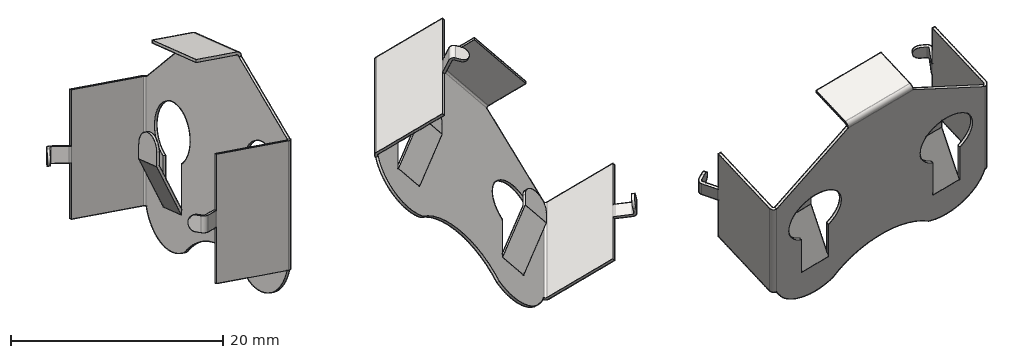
import cadquery as cq
import math


thickness = 0.3
bend_inner = 0.2
bend_outer = bend_inner + thickness

clip_half_width = 12.7
top_z = 12.85
bottom_z = -9.75
plate_half_width = clip_half_width - bend_outer
plate_top_z = top_z - bend_outer
lobe_x = 7.7
scallop_half_width = 5.6
scallop_crest_z = -7.0

wing_half_height = 6.35
wing_depth = 8.56
flange_half_width = 3.8
flange_depth = 5.08

hole_radius = 3.07
hole_z = 1.95
slot_width = 3.15
tongue_width = 3.1
tongue_radius = tongue_width / 2
tongue_x = lobe_x - (slot_width - tongue_width) / 2
tongue_depth = 3.07
tongue_root_z = -5.7
tongue_bend_z = -0.52
tongue_top_z = 2.47

tab_width = 1.65
tab_half_span = 13.6
tab_depth = 11.42
tab_angle = 30.0


def polar(center, radius, degrees):
    """Point on a circle, at an angle counted from the first axis."""
    angle = math.radians(degrees)
    return (center[0] + radius * math.cos(angle), center[1] + radius * math.sin(angle))


def make_plate():
    """Flat back plate: sloped shoulders, two round lobes and a scallop between them."""
    lobe_run = plate_half_width - lobe_x
    lobe_rise = -wing_half_height - bottom_z
    lobe_radius = (lobe_run**2 + lobe_rise**2) / (2 * lobe_rise)
    lobe_z = bottom_z + lobe_radius
    scallop_end_z = lobe_z - math.sqrt(lobe_radius**2 - (lobe_x - scallop_half_width) ** 2)
    return (
        cq.Workplane("XZ")
        .moveTo(-flange_half_width, plate_top_z)
        .lineTo(flange_half_width, plate_top_z)
        .lineTo(plate_half_width, wing_half_height)
        .lineTo(plate_half_width, -wing_half_height)
        .threePointArc((lobe_x, bottom_z), (scallop_half_width, scallop_end_z))
        .threePointArc((0, scallop_crest_z), (-scallop_half_width, scallop_end_z))
        .threePointArc((-lobe_x, bottom_z), (-plate_half_width, -wing_half_height))
        .lineTo(-plate_half_width, wing_half_height)
        .close()
        .extrude(thickness)
    )


def bent_leg(plane, depth, half_length):
    """Quarter bend and straight leg; the plane's origin is the sharp outer corner."""
    center = (bend_outer, -bend_outer)
    return (
        cq.Workplane(plane)
        .moveTo(bend_outer, 0)
        .threePointArc(polar(center, bend_outer, 135), (0, -bend_outer))
        .lineTo(0, -depth)
        .lineTo(thickness, -depth)
        .lineTo(thickness, -bend_outer)
        .threePointArc(polar(center, bend_inner, 135), (bend_outer, -thickness))
        .close()
        .extrude(half_length, both=True)
    )


def make_flange():
    plane = cq.Plane(origin=(0, 0, top_z), xDir=(0, 0, -1), normal=(1, 0, 0))
    return bent_leg(plane, flange_depth, flange_half_width)


def make_left_wing():
    plane = cq.Plane(origin=(-clip_half_width, 0, 0), xDir=(1, 0, 0), normal=(0, 0, 1))
    return bent_leg(plane, wing_depth, wing_half_height)


def make_left_tab():
    """Narrow strip that leans outward from the wing, then hooks back to a round tip."""
    sine = math.sin(math.radians(tab_angle))
    cosine = math.cos(math.radians(tab_angle))

    root_center = (-clip_half_width - bend_inner, -wing_depth)
    hook_x = -tab_half_span + bend_outer
    bends_radius = bend_inner + bend_outer
    lean_length = (root_center[0] + bends_radius * cosine - hook_x) / sine
    hook_y = root_center[1] - bends_radius * sine - lean_length * cosine
    hook_center = (hook_x, hook_y)

    lean_start = 180 - tab_angle
    hook_end = 270 - tab_angle
    hook_outer_end = polar(hook_center, bend_outer, hook_end)
    strip = (
        cq.Workplane("XY")
        .moveTo(-clip_half_width, -wing_depth)
        .threePointArc(
            polar(root_center, bend_inner, -tab_angle / 2),
            polar(root_center, bend_inner, -tab_angle),
        )
        .lineTo(*polar(hook_center, bend_outer, lean_start))
        .threePointArc(polar(hook_center, bend_outer, 180), hook_outer_end)
        .lineTo(*polar(hook_center, bend_inner, hook_end))
        .threePointArc(
            polar(hook_center, bend_inner, 180),
            polar(hook_center, bend_inner, lean_start),
        )
        .lineTo(*polar(root_center, bend_outer, -tab_angle))
        .threePointArc(
            polar(root_center, bend_outer, -tab_angle / 2),
            (-clip_half_width + thickness, -wing_depth),
        )
        .close()
        .extrude(tab_width / 2, both=True)
    )

    blade_length = (hook_outer_end[1] + tab_depth) / sine
    blade_plane = cq.Plane(
        origin=(*hook_outer_end, 0), xDir=(cosine, -sine, 0), normal=(sine, cosine, 0)
    )
    tip_radius = tab_width / 2
    blade = (
        cq.Workplane(blade_plane)
        .moveTo(0, tip_radius)
        .lineTo(blade_length - tip_radius, tip_radius)
        .threePointArc((blade_length, 0), (blade_length - tip_radius, -tip_radius))
        .lineTo(0, -tip_radius)
        .close()
        .extrude(thickness)
    )
    return strip.union(blade)


def make_opening(x):
    """Round window joined to the slot the tongue was pressed out of."""
    window = cq.Workplane("XZ").center(x, hole_z).circle(hole_radius).extrude(thickness)
    slot_height = hole_z - tongue_root_z
    slot = (
        cq.Workplane("XZ")
        .center(x, tongue_root_z + slot_height / 2)
        .rect(slot_width, slot_height)
        .extrude(thickness)
    )
    return window.union(slot)


def make_tongue(x):
    """Tongue sloping forward from the foot of the slot to an upright, round-topped pad."""
    slope_run = tongue_depth - thickness
    slope_rise = tongue_bend_z - tongue_root_z
    slope_length = math.hypot(slope_run, slope_rise)
    slope_height = thickness * slope_length / slope_run
    pad_back_z = tongue_bend_z + thickness * (slope_length - slope_rise) / slope_run
    ribbon = (
        cq.Workplane("YZ", origin=(x, 0, 0))
        .moveTo(0, tongue_root_z)
        .lineTo(-thickness, tongue_root_z)
        .lineTo(-tongue_depth, tongue_bend_z)
        .lineTo(-tongue_depth, tongue_top_z)
        .lineTo(-tongue_depth + thickness, tongue_top_z)
        .lineTo(-tongue_depth + thickness, pad_back_z)
        .lineTo(-thickness, tongue_root_z + slope_height)
        .lineTo(0, tongue_root_z + slope_height - thickness * slope_rise / slope_run)
        .close()
        .extrude(tongue_radius, both=True)
    )
    round_z = tongue_top_z - tongue_radius
    face = (
        cq.Workplane("XZ")
        .moveTo(x - tongue_radius, tongue_root_z)
        .lineTo(x + tongue_radius, tongue_root_z)
        .lineTo(x + tongue_radius, round_z)
        .threePointArc((x, tongue_top_z), (x - tongue_radius, round_z))
        .close()
        .extrude(tongue_depth)
    )
    return ribbon.intersect(face)


left_side = make_left_wing().union(make_left_tab())
result = make_plate().union(make_flange()).union(left_side).union(left_side.mirror("YZ"))
for side in (-1, 1):
    result = result.cut(make_opening(side * lobe_x)).union(make_tongue(side * tongue_x))